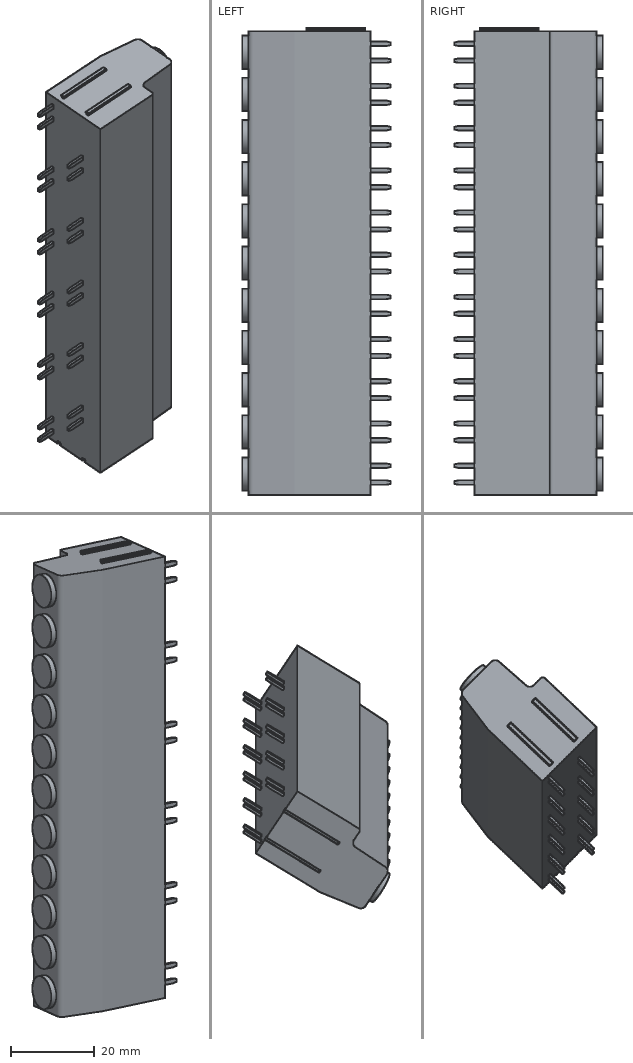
import cadquery as cq


pole_count = 11
total_length = 112.5
rib_height = 0.8
housing_length = total_length - rib_height
pole_pitch = housing_length / pole_count
housing_width = 18.7
housing_depth = 29.5
slope_start = 18.3
top_left = 1.8
top_right = 13.8
step_left = 14.3
step_depth = 18.1
top_radius = 1.4
step_inner_radius = 1.4
step_outer_radius = 0.7

screw_diameter = 8.1
screw_center = 7.4
screw_height = 1.5

pin_rows = (2.4, 12.5)
pin_thickness = 0.7
pin_width = 1.1
pin_length = 4.8
pin_spacing = 4.0
pin_tip_length = 1.0
pin_tip_inset = 0.2

rib_centers = (4.4, 12.8)
rib_width = 1.4
rib_neck = 0.7
rib_crown = 0.9
rib_neck_height = 0.2
rib_widest_level = 0.5
rib_start = 1.4
rib_end = 15.5

overlap = 0.2


def pole_center(pole):
    return (pole + 0.5) * pole_pitch


def make_housing():
    body = (
        cq.Workplane("XY")
        .polyline([
            (0, 0),
            (housing_width, 0),
            (housing_width, step_depth),
            (step_left, step_depth),
            (top_right, housing_depth),
            (top_left, housing_depth),
            (0, slope_start),
        ])
        .close()
        .extrude(housing_length)
    )

    def edge_at(x, y):
        return cq.selectors.NearestToPointSelector((x, y, housing_length / 2))

    body = body.edges(edge_at(top_left, housing_depth)).fillet(top_radius)
    body = body.edges(edge_at(top_right, housing_depth)).fillet(top_radius)
    body = body.edges(edge_at(step_left, step_depth)).fillet(step_inner_radius)
    return body.edges(edge_at(housing_width, step_depth)).fillet(step_outer_radius)


def make_screw(pole):
    return (
        cq.Workplane("XZ", origin=(screw_center, housing_depth - overlap, pole_center(pole)))
        .circle(screw_diameter / 2)
        .extrude(-(screw_height + overlap))
    )


def make_pin(x, z):
    """Flat pin along -Y whose tip is bevelled on both Z edges."""
    half_width = pin_width / 2
    tip_half_width = half_width - pin_tip_inset
    shoulder = pin_tip_length - pin_length
    return (
        cq.Workplane("YZ", origin=(x, 0, z))
        .polyline([
            (overlap, -half_width),
            (shoulder, -half_width),
            (-pin_length, -tip_half_width),
            (-pin_length, tip_half_width),
            (shoulder, half_width),
            (overlap, half_width),
        ])
        .close()
        .extrude(pin_thickness / 2, both=True)
    )


def make_rib(center, base, start):
    """Bar along Y from start to rib_end, narrow at Z = base and widest part of the way up."""
    half_neck = rib_neck / 2
    half_width = rib_width / 2
    half_crown = rib_crown / 2
    return (
        cq.Workplane("XZ", origin=(center, start, base))
        .polyline([
            (-half_neck, 0),
            (half_neck, 0),
            (half_neck, rib_neck_height),
            (half_width, rib_widest_level),
            (half_crown, rib_height),
            (-half_crown, rib_height),
            (-half_width, rib_widest_level),
            (-half_neck, rib_neck_height),
        ])
        .close()
        .extrude(start - rib_end)
    )


result = make_housing()

for center in rib_centers:
    result = result.union(make_rib(center, housing_length, rib_start))
    result = result.cut(make_rib(center, 0, 0))

for pole in range(pole_count):
    result = result.union(make_screw(pole))
    pin_x = pin_rows[pole % 2]
    for side in (-1, 1):
        result = result.union(make_pin(pin_x, pole_center(pole) + side * pin_spacing / 2))